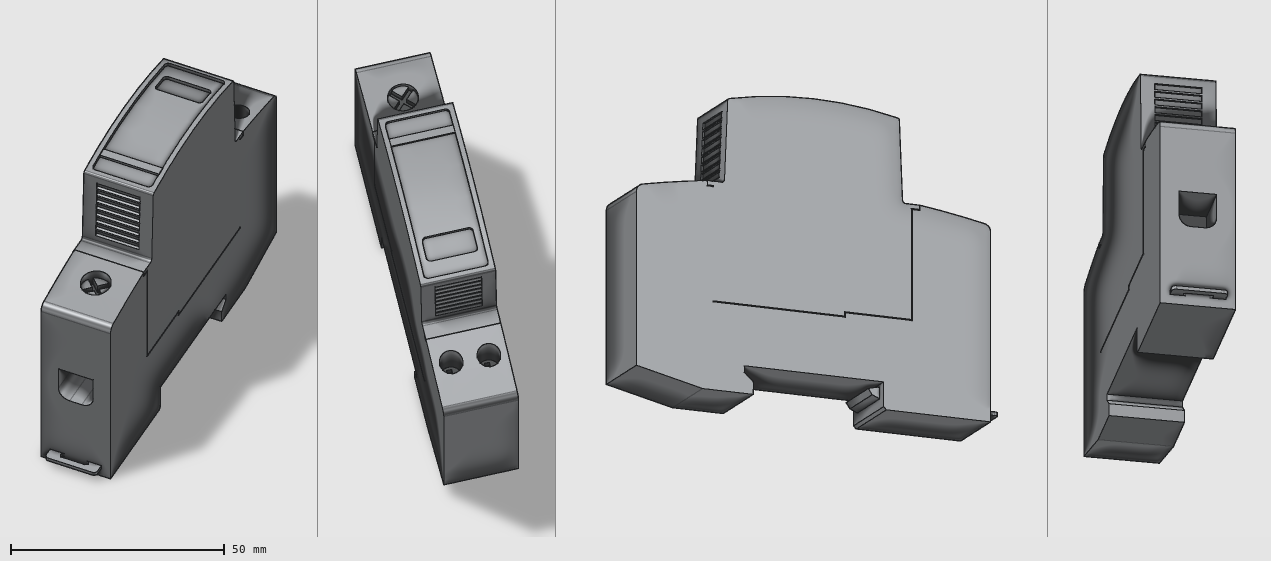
import cadquery as cq
import math


WIDTH = 18.0
HALF_LENGTH = 45.0
SHOULDER_RADIUS = 221.0
SHOULDER_APEX_Z = 52.3
END_FILLET = 2.0
REAR_BEVEL_Z = 3.8
REAR_BEVEL_Y = 28.2

RAIL_TOP_Z = 6.7
RAIL_FRONT_Y = -17.8
RAIL_FRONT_CHAMFER = 0.7
RAIL_REAR_Y = 17.6
RAIL_LIP_Y = 15.3
RAIL_LIP_TOP_Z = 3.1
RAIL_HOOK_Z = 5.1

TOTAL_HEIGHT = 73.51
CROWN_RADIUS = 100.0
TOWER_TOP_HALF = 21.8
TOWER_BASE_HALF = 22.65
TOWER_TOP_FILLET = 0.6
TOWER_BASE_FILLET = 0.8
FLANGE_TOP_Z = 50.65
FLANGE_BOTTOM_Z = 49.6
FLANGE_HALF = 26.9

GAP = 0.25
FLANGE_END_GAP = 0.08
CARTRIDGE_REAR_Y = 25.4
CARTRIDGE_FRONT_Y = -24.9
CARTRIDGE_BOTTOM_Z = 21.6
CARTRIDGE_STEP_Y = -7.9
CARTRIDGE_STEP_Z = 22.65

PANEL_WIDTH = 15.4
PANEL_HALF_LENGTH = 20.35
PANEL_CORNER = 1.0
PANEL_DEPTH = 0.9
RIDGE_START_Y = -13.8
RIDGE_END_Y = -15.8
RIDGE_DEPTH = 0.3
WINDOW_WIDTH = 12.2
WINDOW_LENGTH = 5.9
WINDOW_CENTER_Y = 13.25
WINDOW_CORNER = 1.0
WINDOW_DEPTH = 0.9

SLOT_COUNT = 8
SLOT_WIDTH = 11.2
SLOT_HEIGHT = 1.6
SLOT_DEPTH = 0.6
SLOT_FLOOR_RISE = 0.3
GRIP_TOP_Z = 68.85
GRIP_BOTTOM_Z = 52.85

FRONT_SCREW_DIAMETER = 7.2
FRONT_SCREW_Y = -34.15
FRONT_SCREW_Z = 47.9
FRONT_CROSS_WIDTH = 1.25
REAR_SCREW_DIAMETER = 5.5
REAR_SCREW_X = 4.5
REAR_SCREW_YS = {-REAR_SCREW_X: 33.8, REAR_SCREW_X: 33.5}
REAR_SCREW_Z = 40.0
REAR_CROSS_WIDTH = 1.2
REAR_CROSS_LENGTH = 4.1
CROSS_DEPTH = 2.0

ENTRY_WIDTH = 8.95
ENTRY_TOP_Z = 29.6
ENTRY_BOTTOM_Z = 20.6
ENTRY_CORNER = 2.9
ENTRY_DEPTH = 12.0

CLIP_WIDTH = 13.3
TAB_LENGTH = 3.0
TAB_BOTTOM_Z = 2.4
TAB_TOP_Z = 3.3
TAB_CORNER = 1.0
TAB_SLOT_LENGTH = 7.2
TAB_SLOT_WIDTH = 1.35
NOSE_TIP_Y = -14.9
NOSE_TIP_Z = 5.4
NOSE_TOP_Z = 6.1
NOSE_KINK_Y = -15.9
NOSE_KINK_Z = 4.0
NOSE_BOTTOM_Z = 3.2


def shoulder_z(y):
    """Height of the arched housing shoulder at y."""
    return SHOULDER_APEX_Z - SHOULDER_RADIUS + math.sqrt(SHOULDER_RADIUS**2 - y**2)


def crown_z(y, depth=0.0):
    """Height of the tower crown at y, or of a parallel arc lying deeper."""
    return TOTAL_HEIGHT - CROWN_RADIUS + math.sqrt((CROWN_RADIUS - depth) ** 2 - y**2)


def side_profile():
    """Workplane whose sketch axes are global Y and Z."""
    return cq.Workplane("YZ")


def across(outline, width=WIDTH):
    """Extrude a closed side outline symmetrically about X = 0."""
    return outline.extrude(width / 2, both=True)


def edges_along_x(y, z):
    """Selector of the edge crossing the side plane at (y, z)."""
    margin = 0.05
    return cq.selectors.BoxSelector((-WIDTH, y - margin, z - margin), (WIDTH, y + margin, z + margin))


def make_housing():
    end_z = shoulder_z(HALF_LENGTH)
    housing = across(
        side_profile()
        .moveTo(-HALF_LENGTH, 0)
        .lineTo(-HALF_LENGTH, end_z)
        .threePointArc((0, SHOULDER_APEX_Z), (HALF_LENGTH, end_z))
        .lineTo(HALF_LENGTH, REAR_BEVEL_Z)
        .lineTo(REAR_BEVEL_Y, 0)
        .lineTo(RAIL_LIP_Y, 0)
        .lineTo(RAIL_LIP_Y, RAIL_LIP_TOP_Z)
        .lineTo(RAIL_REAR_Y, RAIL_HOOK_Z)
        .lineTo(RAIL_REAR_Y, RAIL_TOP_Z)
        .lineTo(RAIL_FRONT_Y, RAIL_TOP_Z)
        .lineTo(RAIL_FRONT_Y, RAIL_FRONT_CHAMFER)
        .lineTo(RAIL_FRONT_Y - RAIL_FRONT_CHAMFER, 0)
        .close()
    )
    for y in (-HALF_LENGTH, HALF_LENGTH):
        housing = housing.edges(edges_along_x(y, end_z)).fillet(END_FILLET)
    return housing


def cartridge_outline(clearance, end_clearance):
    """Buried part of the cartridge; the clearances widen it everywhere but at its rear wall."""
    flange_bottom = FLANGE_BOTTOM_Z - clearance
    flange_half = FLANGE_HALF + end_clearance
    front_y = CARTRIDGE_FRONT_Y - clearance
    step_y = CARTRIDGE_STEP_Y - clearance
    step_z = CARTRIDGE_STEP_Z - clearance
    bottom_z = CARTRIDGE_BOTTOM_Z - clearance
    top_z = SHOULDER_APEX_Z if clearance else FLANGE_TOP_Z
    return (
        side_profile()
        .moveTo(flange_half, top_z)
        .lineTo(flange_half, flange_bottom)
        .lineTo(CARTRIDGE_REAR_Y, flange_bottom)
        .lineTo(CARTRIDGE_REAR_Y, bottom_z)
        .lineTo(step_y, bottom_z)
        .lineTo(step_y, step_z)
        .lineTo(front_y, step_z)
        .lineTo(front_y, flange_bottom)
        .lineTo(-flange_half, flange_bottom)
        .lineTo(-flange_half, top_z)
        .close()
    )


def make_tower():
    top_z = crown_z(TOWER_TOP_HALF)
    tower = across(
        side_profile()
        .moveTo(-TOWER_BASE_HALF, FLANGE_TOP_Z)
        .lineTo(-TOWER_TOP_HALF, top_z)
        .threePointArc((0, TOTAL_HEIGHT), (TOWER_TOP_HALF, top_z))
        .lineTo(TOWER_BASE_HALF, FLANGE_TOP_Z)
        .close()
    )
    for y in (-TOWER_TOP_HALF, TOWER_TOP_HALF):
        tower = tower.edges(edges_along_x(y, top_z)).fillet(TOWER_TOP_FILLET)
    return tower


def make_cartridge():
    cartridge = across(cartridge_outline(0, 0)).union(make_tower())
    for y in (-TOWER_BASE_HALF, TOWER_BASE_HALF):
        cartridge = cartridge.edges(edges_along_x(y, FLANGE_TOP_Z)).fillet(TOWER_BASE_FILLET)
    return cartridge


def rounded_prism(width, length, center_y, corner):
    """Upright rounded rectangle reaching from the housing top to above the crown."""
    clear_above = 1.0
    return (
        cq.Workplane("XY", origin=(0, center_y, FLANGE_TOP_Z))
        .rect(width, length)
        .extrude(TOTAL_HEIGHT - FLANGE_TOP_Z + clear_above)
        .edges("|Z")
        .fillet(corner)
    )


def below_crown(depth):
    """Everything between the flange and an arc parallel to the crown."""
    end_z = crown_z(TOWER_TOP_HALF, depth)
    return across(
        side_profile()
        .moveTo(-TOWER_TOP_HALF, FLANGE_TOP_Z)
        .lineTo(-TOWER_TOP_HALF, end_z)
        .threePointArc((0, TOTAL_HEIGHT - depth), (TOWER_TOP_HALF, end_z))
        .lineTo(TOWER_TOP_HALF, FLANGE_TOP_Z)
        .close()
    )


def thumb_ridge():
    """Low bar across the panel, parallel to the crown."""
    length = RIDGE_START_Y - RIDGE_END_Y
    center_y = (RIDGE_START_Y + RIDGE_END_Y) / 2
    bar = cq.Workplane("XY").box(WIDTH, length, 2 * TOTAL_HEIGHT).translate((0, center_y, 0))
    return bar.intersect(below_crown(RIDGE_DEPTH))


def label_recess():
    panel = rounded_prism(PANEL_WIDTH, 2 * PANEL_HALF_LENGTH, 0, PANEL_CORNER)
    panel = panel.cut(below_crown(PANEL_DEPTH)).cut(thumb_ridge())
    window = rounded_prism(WINDOW_WIDTH, WINDOW_LENGTH, WINDOW_CENTER_Y, WINDOW_CORNER)
    window = window.cut(below_crown(PANEL_DEPTH + WINDOW_DEPTH))
    return panel.union(window)


def grip_slot(z, wall_y):
    """Slot in the front wall, its floor rising inward from z."""
    slope = SLOT_FLOOR_RISE / SLOT_DEPTH
    overshoot = SLOT_DEPTH
    outer_y = -wall_y - overshoot
    inner_y = -wall_y + SLOT_DEPTH
    return across(
        side_profile()
        .moveTo(outer_y, z - slope * overshoot)
        .lineTo(inner_y, z + SLOT_FLOOR_RISE)
        .lineTo(inner_y, z + SLOT_HEIGHT)
        .lineTo(outer_y, z + SLOT_HEIGHT)
        .close(),
        SLOT_WIDTH,
    )


def grip_slots():
    """Rows of slots cut to a constant depth behind the two tapered end walls."""
    pitch = (GRIP_TOP_Z - GRIP_BOTTOM_Z - SLOT_HEIGHT) / (SLOT_COUNT - 1)
    taper = (TOWER_BASE_HALF - TOWER_TOP_HALF) / (crown_z(TOWER_TOP_HALF) - FLANGE_TOP_Z)
    slots = cq.Workplane("XY")
    for index in range(SLOT_COUNT):
        z = GRIP_BOTTOM_Z + index * pitch
        wall_y = TOWER_BASE_HALF - taper * (z - FLANGE_TOP_Z)
        slot = grip_slot(z, wall_y)
        slots = slots.add(slot).add(slot.mirror("XZ"))
    return slots.combine()


def screw_recess(x, y, head_z, diameter, cross_width, cross_length, angle):
    """Screw well down to the screw head, plus the cross drive in the head."""
    well_height = SHOULDER_APEX_Z - head_z
    well = cq.Workplane("XY", origin=(0, 0, head_z)).circle(diameter / 2).extrude(well_height)
    drive = cq.Workplane("XY", origin=(0, 0, head_z)).rect(cross_length, cross_width).extrude(-CROSS_DEPTH)
    drive = drive.union(drive.rotate((0, 0, 0), (0, 0, 1), 90)).rotate((0, 0, 0), (0, 0, 1), angle)
    shank = cq.Workplane("XY", origin=(0, 0, head_z)).circle(diameter / 2).extrude(-CROSS_DEPTH)
    return well.union(drive.intersect(shank)).translate((x, y, 0))


def wire_entry():
    entry_height = ENTRY_TOP_Z - ENTRY_BOTTOM_Z
    return (
        cq.Workplane("XY")
        .box(ENTRY_WIDTH, ENTRY_DEPTH, entry_height, centered=(True, False, False))
        .edges("|Y and <Z")
        .fillet(ENTRY_CORNER)
        .translate((0, -HALF_LENGTH, ENTRY_BOTTOM_Z))
    )


def pull_tab():
    thickness = TAB_TOP_Z - TAB_BOTTOM_Z
    tab = (
        cq.Workplane("XY")
        .box(CLIP_WIDTH, TAB_LENGTH, thickness, centered=(True, False, False))
        .edges("|Z and <Y")
        .fillet(TAB_CORNER)
    )
    slot = (
        cq.Workplane("XY")
        .center(0, TAB_LENGTH - TAB_SLOT_WIDTH / 2)
        .slot2D(TAB_SLOT_LENGTH, TAB_SLOT_WIDTH)
        .extrude(thickness)
    )
    return tab.cut(slot).translate((0, -HALF_LENGTH - TAB_LENGTH, TAB_BOTTOM_Z))


def latch_nose():
    return across(
        side_profile()
        .moveTo(RAIL_FRONT_Y, NOSE_TOP_Z)
        .lineTo(NOSE_TIP_Y, NOSE_TIP_Z)
        .lineTo(NOSE_KINK_Y, NOSE_KINK_Z)
        .lineTo(RAIL_FRONT_Y, NOSE_BOTTOM_Z)
        .close(),
        CLIP_WIDTH,
    )


body = make_housing().cut(across(cartridge_outline(GAP, FLANGE_END_GAP)))
body = body.union(make_cartridge())
body = body.cut(label_recess())
body = body.cut(grip_slots())

body = body.cut(
    screw_recess(
        0,
        FRONT_SCREW_Y,
        FRONT_SCREW_Z,
        FRONT_SCREW_DIAMETER,
        FRONT_CROSS_WIDTH,
        FRONT_SCREW_DIAMETER,
        45,
    )
)
for screw_x, screw_y in REAR_SCREW_YS.items():
    body = body.cut(
        screw_recess(
            screw_x,
            screw_y,
            REAR_SCREW_Z,
            REAR_SCREW_DIAMETER,
            REAR_CROSS_WIDTH,
            REAR_CROSS_LENGTH,
            0,
        )
    )

body = body.cut(wire_entry())
result = body.union(pull_tab()).union(latch_nose())